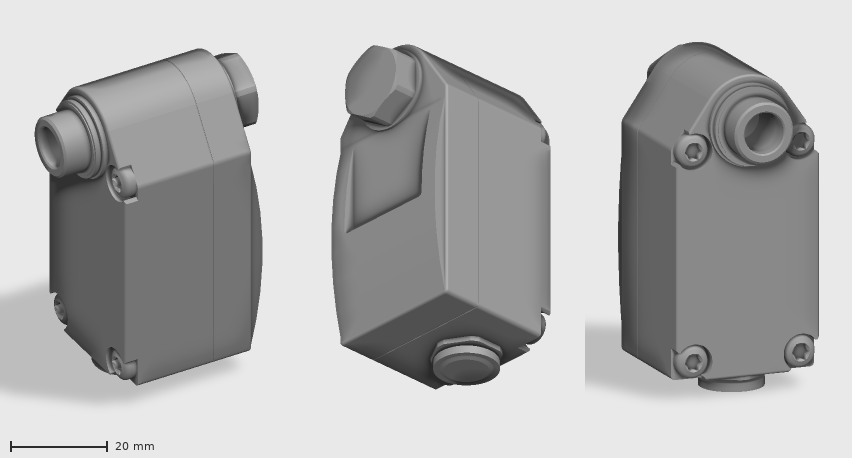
import cadquery as cq
import math


width = 32.0
half_width = width / 2
housing_height = 64.35
overall_height = 68.45
depth = 30.1
pivot_radius = 10.5
shoulder_z = -4.65
bottom_z = pivot_radius - housing_height
shoulder_fillet = 1.65
bottom_fillet = 0.9
rim_fillet = 0.55
seam_y = 21.0
seam_width = 0.3
seam_depth = 0.15

screw_x = 12.0
upper_screw_z = -4.9
lower_screw_z = -49.9
recess_diameter = 8.0
recess_depth = 3.0
recess_slot_width = 4.8
recess_slot_flare = 0.55
screw_diameter = 7.0
screw_cone_diameter = 5.6
screw_front_y = 0.3
screw_cone_y = 0.6
screw_rounding_y = 1.65
countersink_radius = 2.0
countersink_floor_radius = 1.4
socket_tip_radius = 2.05
socket_valley_radius = 1.5
socket_depth = 1.7
socket_lobes = 6

collar_diameter = 17.7
front_collar_length = 1.1
ring_diameter = 16.8
ring_back_diameter = 15.0
ring_lip_diameter = 15.6
ring_round_end_y = -1.9
ring_front_y = -2.6
ring_lip_front_y = -2.8
shaft_diameter = 13.15
shaft_front_y = -9.0
shaft_chamfer = 0.5
bore_diameter = 8.75
bore_mouth_diameter = 9.4
bore_depth = 13.7
bore_tip_angle = 118.0
back_collar_length = 0.9
hex_flats = 15.1
hex_corner_diameter = 16.85
hex_back_y = 36.55
hex_chamfer = 0.4

dome_half_width = 15.4
dome_top_z = -7.5
dome_bottom_z = -53.2
dome_height = 2.9
pocket_half_width = 11.5
pocket_floor_height = 0.3
pocket_corner_radius = 0.9

fitting_y = 9.05
fitting_hex_flats = 13.8
fitting_hex_corner_diameter = 15.0
fitting_hex_height = 1.1
neck_diameter = 9.4
disc_diameter = 13.8
disc_top_z = -55.85
disc_bottom_z = -57.6
fitting_bottom_z = pivot_radius - overall_height
tip_top_diameter = 11.5
tip_bottom_diameter = 9.45


def along_y(y):
    """Plane at the given y, with local x = X, local y = Z and extrusion towards -Y."""
    return cq.Workplane("XZ", origin=(0, y, 0))


shoulder_distance = math.hypot(half_width, shoulder_z)
flank_angle = math.atan2(shoulder_z, half_width) + math.acos(pivot_radius / shoulder_distance)
flank_x = pivot_radius * math.cos(flank_angle)
flank_z = pivot_radius * math.sin(flank_angle)


def housing_outline(y):
    """Closed housing outline at the given y: square bottom, sloping flanks, round top."""
    return (
        along_y(y)
        .moveTo(-half_width, bottom_z)
        .lineTo(half_width, bottom_z)
        .lineTo(half_width, shoulder_z)
        .lineTo(flank_x, flank_z)
        .threePointArc((0, pivot_radius), (-flank_x, flank_z))
        .lineTo(-half_width, shoulder_z)
        .close()
    )


def make_housing():
    body = housing_outline(0).extrude(-depth)
    for z, radius in ((bottom_z, bottom_fillet), (shoulder_z, shoulder_fillet)):
        for x in (-half_width, half_width):
            corner = cq.selectors.NearestToPointSelector((x, depth / 2, z))
            body = body.edges("|Y").edges(corner).fillet(radius)
    body = body.faces("<Y or >Y").edges().fillet(rim_fillet)

    groove_y = seam_y - seam_width / 2
    seam_core = housing_outline(groove_y).offset2D(-seam_depth).extrude(-seam_width)
    seam = housing_outline(groove_y).extrude(-seam_width).cut(seam_core)
    return body.cut(seam)


def recess_slot(x, z, angle, wall_distance):
    """Slot opening a recess outwards, at an angle from +X in degrees, flared at the outer wall."""
    half_slot = recess_slot_width / 2
    flare_start = wall_distance - recess_slot_flare
    flare_end = wall_distance + recess_slot_flare
    flared_half = half_slot + 2 * recess_slot_flare
    slot = (
        along_y(0)
        .polyline([
            (0, -half_slot),
            (flare_start, -half_slot),
            (flare_end, -flared_half),
            (flare_end, flared_half),
            (flare_start, half_slot),
            (0, half_slot),
        ])
        .close()
        .extrude(-recess_depth)
    )
    return slot.rotate((0, 0, 0), (0, -1, 0), angle).translate((x, 0, z))


def make_recess(side, z, slots):
    """Round recess at a right-hand (side = 1) or left-hand (side = -1) screw."""
    recess = along_y(0).center(screw_x, z).circle(recess_diameter / 2).extrude(-recess_depth)
    for angle, wall_distance in slots:
        recess = recess.union(recess_slot(screw_x, z, angle, wall_distance))
    return recess if side > 0 else recess.mirror("YZ")


def make_screw(side, z):
    """Screw head with a rounded rim, a shallow cone and a countersunk six-lobed socket."""
    countersink_depth = countersink_radius - countersink_floor_radius
    head = (
        cq.Workplane("XY")
        .moveTo(0, recess_depth)
        .lineTo(screw_diameter / 2, recess_depth)
        .lineTo(screw_diameter / 2, screw_rounding_y)
        .tangentArcPoint((screw_cone_diameter / 2, screw_cone_y), relative=False)
        .lineTo(countersink_radius, screw_front_y)
        .lineTo(countersink_floor_radius, screw_front_y + countersink_depth)
        .lineTo(0, screw_front_y + countersink_depth)
        .close()
        .revolve(360, (0, 0), (0, 1))
    )
    socket_points = []
    for step in range(2 * socket_lobes):
        radius = socket_valley_radius if step % 2 else socket_tip_radius
        angle = math.pi * step / socket_lobes
        socket_points.append((radius * math.cos(angle), radius * math.sin(angle)))
    socket = along_y(screw_front_y).spline(socket_points, periodic=True).close().extrude(-socket_depth)
    return head.cut(socket).translate((side * screw_x, 0, z))


def make_front_shaft():
    """Collar, sealing ring with a rounded back and a front lip, and shaft before the housing."""
    collar_radius = collar_diameter / 2
    ring_radius = ring_diameter / 2
    lip_radius = ring_lip_diameter / 2
    shaft_radius = shaft_diameter / 2
    return (
        cq.Workplane("XY")
        .moveTo(0, shaft_front_y)
        .lineTo(shaft_radius - shaft_chamfer, shaft_front_y)
        .lineTo(shaft_radius, shaft_front_y + shaft_chamfer)
        .lineTo(shaft_radius, ring_lip_front_y)
        .lineTo(lip_radius, ring_lip_front_y)
        .lineTo(lip_radius, ring_front_y)
        .lineTo(ring_radius, ring_front_y)
        .lineTo(ring_radius, ring_round_end_y)
        .tangentArcPoint((ring_back_diameter / 2, -front_collar_length), relative=False)
        .lineTo(collar_radius, -front_collar_length)
        .lineTo(collar_radius, rim_fillet)
        .lineTo(0, rim_fillet)
        .close()
        .revolve(360, (0, 0), (0, 1))
    )


def make_bore():
    """Blind bore with a chamfered mouth and a conical end."""
    bore_radius = bore_diameter / 2
    mouth_radius = bore_mouth_diameter / 2
    bore_end_y = shaft_front_y + bore_depth
    tip_length = bore_radius / math.tan(math.radians(bore_tip_angle / 2))
    bore_profile = [
        (0, shaft_front_y),
        (mouth_radius, shaft_front_y),
        (bore_radius, shaft_front_y + mouth_radius - bore_radius),
        (bore_radius, bore_end_y),
        (0, bore_end_y + tip_length),
    ]
    return cq.Workplane("XY").polyline(bore_profile).close().revolve(360, (0, 0), (0, 1))


def hexagon_diameter(flats):
    """Diameter across the corners of a hexagon of the given width across flats."""
    return flats / math.cos(math.pi / 6)


def make_back_hex():
    """Collar and hexagon head behind the housing, corners up and down."""
    collar_back_y = depth + back_collar_length
    collar = along_y(collar_back_y).circle(collar_diameter / 2).extrude(back_collar_length + rim_fillet)
    hex_length = hex_back_y - collar_back_y
    hexagon = (
        along_y(hex_back_y)
        .polygon(6, hexagon_diameter(hex_flats))
        .extrude(hex_length)
        .rotate((0, 0, 0), (0, 1, 0), 30)
    )
    turned_blank = (
        along_y(hex_back_y)
        .circle(hex_corner_diameter / 2)
        .extrude(hex_length)
        .faces(">Y")
        .edges()
        .chamfer(hex_chamfer, 2 * hex_chamfer)
    )
    return collar.union(hexagon.intersect(turned_blank))


def make_dome():
    """Cover bulging from the back face, with a pocket open towards the pivot."""
    middle_z = (dome_top_z + dome_bottom_z) / 2
    dome = (
        cq.Workplane("YZ")
        .moveTo(depth, dome_bottom_z)
        .threePointArc((depth + dome_height, middle_z), (depth, dome_top_z))
        .lineTo(depth - rim_fillet, dome_top_z)
        .lineTo(depth - rim_fillet, dome_bottom_z)
        .close()
        .extrude(dome_half_width, both=True)
    )
    pocket = (
        cq.Workplane("XY", origin=(0, depth + pocket_floor_height, middle_z))
        .center(0, dome_height / 2)
        .rect(2 * pocket_half_width, dome_height)
        .extrude(dome_top_z - middle_z)
        .edges("|Y and <Z")
        .fillet(pocket_corner_radius)
    )
    return dome.cut(pocket)


def make_fitting():
    """Hexagon, neck and release disc below the housing."""
    overlap_z = bottom_z + rim_fillet
    hex_bottom_z = bottom_z - fitting_hex_height

    def at_height(z):
        return cq.Workplane("XY", origin=(0, fitting_y, z))

    hex_length = overlap_z - hex_bottom_z
    hexagon = (
        at_height(hex_bottom_z)
        .transformed(rotate=(0, 0, 30))
        .polygon(6, hexagon_diameter(fitting_hex_flats))
        .extrude(hex_length)
    )
    hex_round = at_height(hex_bottom_z).circle(fitting_hex_corner_diameter / 2).extrude(hex_length)
    neck = at_height(disc_top_z).circle(neck_diameter / 2).extrude(hex_bottom_z - disc_top_z)
    disc = at_height(disc_bottom_z).circle(disc_diameter / 2).extrude(disc_top_z - disc_bottom_z)
    tip = (
        at_height(fitting_bottom_z)
        .circle(tip_bottom_diameter / 2)
        .workplane(offset=disc_bottom_z - fitting_bottom_z)
        .circle(tip_top_diameter / 2)
        .loft()
    )
    return hexagon.intersect(hex_round).union(neck).union(disc).union(tip)


result = make_housing()

side_distance = half_width - screw_x
bottom_distance = lower_screw_z - bottom_z
flank_distance = (
    pivot_radius - screw_x * math.cos(flank_angle) - upper_screw_z * math.sin(flank_angle)
)
corner_distance = math.hypot(side_distance, bottom_distance)
screw_rows = (
    (upper_screw_z, ((0, side_distance), (math.degrees(flank_angle), flank_distance))),
    (lower_screw_z, ((0, side_distance), (-45, corner_distance), (-90, bottom_distance))),
)
for row_z, slots in screw_rows:
    for side in (-1, 1):
        result = result.cut(make_recess(side, row_z, slots)).union(make_screw(side, row_z))

result = result.union(make_dome()).union(make_back_hex()).union(make_fitting())
result = result.union(make_front_shaft()).cut(make_bore())